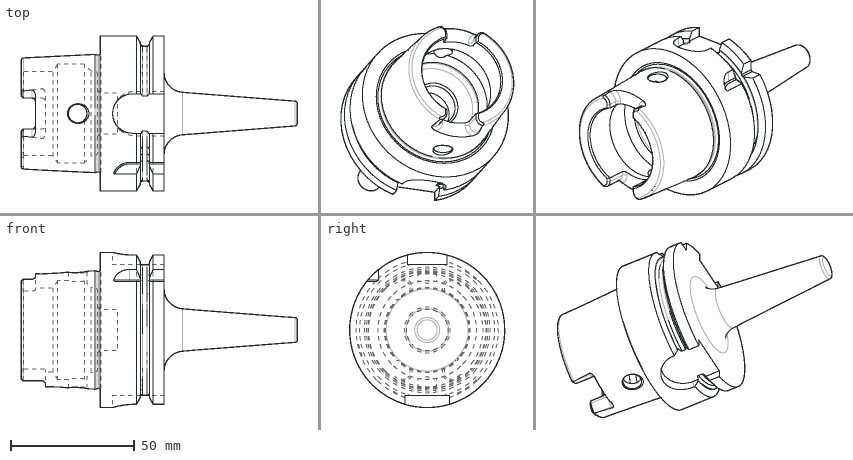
import cadquery as cq
import math


SHANK_LENGTH = 32.0
SHANK_RADIUS = 24.05
TAPER_SLOPE = 1 / 20
SHANK_EDGE_ROUND = 1.0

RELIEF_LENGTH = 2.05
RELIEF_RAMP_LENGTH = 0.9
RELIEF_SHANK_DEPTH = 0.25
RELIEF_FACE_DEPTH = 0.3
RELIEF_ROUND = 0.9
RELIEF_OUTER_RADIUS = 25.5

FLANGE_RADIUS = 31.5
FLANGE_LENGTH = 26.0
GROOVE_CENTER = 18.15
GROOVE_MOUTH_WIDTH = 6.75
GROOVE_FLANK_ANGLE = 30.0
GROOVE_CHANNEL_WIDTH = 3.7
GROOVE_FLOOR_RADIUS = 27.45
GROOVE_FLOOR_ROUND = 1.0

NOSE_END = 80.0
NOSE_TIP_RADIUS = 5.0
NOSE_HALF_ANGLE = 4.5
NOSE_ROOT_ROUND = 8.0
NOSE_TIP_ROUND = 1.0

BORE_RADIUS = 17.0
BORE_CHAMFER_HEIGHT = 0.45
BORE_CHAMFER_LENGTH = 0.9
BORE_LENGTH = 13.0
CHAMBER_RADIUS = 20.0
CHAMBER_SHOULDER_ANGLE = 60.0
CAVITY_DEPTH = 31.0
CHAMBER_END_X = -6.4
RECESS_RADIUS = 17.3
RECESS_FLOOR_ROUND = 1.6
PILOT_RADIUS = 8.4
PILOT_CHAMFER = 0.9
PILOT_DEPTH = 8.0

KEYWAY_WIDTH = 12.5
KEYWAY_DEPTH_TOP = 5.75
KEYWAY_DEPTH_BOTTOM = 9.85
KEYWAY_SHOULDER_HEIGHT = 20.65
KEYWAY_SHOULDER_ROUND = 3.2
KEYWAY_FLOOR_ROUND = 1.4
KEYWAY_MOUTH_CHAMFER = 0.8

CROSS_HOLE_X = -9.1
CROSS_HOLE_RADIUS = 3.75
CROSS_HOLE_CHAMFER = 0.6

SLOT_START_X = 5.1
SLOT_FLOOR_HEIGHT = 26.5
SLOT_WIDTH_TOP = 16.0
SLOT_WIDTH_BOTTOM = 18.0

NOTCH_FLOOR_Z = 19.7
NOTCH_WALL_Y = -19.8
NOTCH_RADIUS = 7.0
NOTCH_CENTER_X = 12.0
NOTCH_FLOOR_CHAMFER = 0.6

CLEARANCE = 5.0


def shank_radius(x):
    """Radius of the taper at axial position x."""
    return SHANK_RADIUS + (x + RELIEF_LENGTH) * TAPER_SLOPE


def point_on_circle(center, radius, angle):
    """Point on a circle, angle in degrees."""
    a = math.radians(angle)
    return (center[0] + radius * math.cos(a), center[1] + radius * math.sin(a))


def revolve_about_x(profile):
    return profile.close().revolve(360, (0, 0, 0), (1, 0, 0))


def shank():
    end = -SHANK_LENGTH
    floor = SHANK_RADIUS - RELIEF_SHANK_DEPTH
    rim = end + SHANK_EDGE_ROUND
    rim_radius = shank_radius(rim)
    rim_center = (rim, rim_radius - SHANK_EDGE_ROUND)
    relief_center = (RELIEF_FACE_DEPTH - RELIEF_ROUND, floor + RELIEF_ROUND)
    profile = (
        cq.Workplane("XY")
        .moveTo(end, 0)
        .lineTo(end, rim_center[1])
        .threePointArc(point_on_circle(rim_center, SHANK_EDGE_ROUND, 135), (rim, rim_radius))
        .lineTo(-RELIEF_LENGTH, SHANK_RADIUS)
        .lineTo(-RELIEF_LENGTH + RELIEF_RAMP_LENGTH, floor)
        .lineTo(relief_center[0], floor)
        .threePointArc(
            point_on_circle(relief_center, RELIEF_ROUND, -45),
            (RELIEF_FACE_DEPTH, relief_center[1]),
        )
        .lineTo(RELIEF_FACE_DEPTH, 0)
    )
    return revolve_about_x(profile)


def flange():
    body = revolve_about_x(
        cq.Workplane("XY")
        .moveTo(RELIEF_FACE_DEPTH, 0)
        .lineTo(RELIEF_FACE_DEPTH, SHANK_RADIUS - RELIEF_SHANK_DEPTH + RELIEF_ROUND)
        .lineTo(0, RELIEF_OUTER_RADIUS)
        .lineTo(0, FLANGE_RADIUS)
        .lineTo(FLANGE_LENGTH, FLANGE_RADIUS)
        .lineTo(FLANGE_LENGTH, 0)
    )
    return body.cut(gripper_groove())


def gripper_groove():
    half_mouth = GROOVE_MOUTH_WIDTH / 2
    half_channel = GROOVE_CHANNEL_WIDTH / 2
    half_floor = half_channel - GROOVE_FLOOR_ROUND
    flank_depth = (half_mouth - half_channel) / math.tan(math.radians(GROOVE_FLANK_ANGLE))
    flank_foot = FLANGE_RADIUS - flank_depth
    round_height = GROOVE_FLOOR_RADIUS + GROOVE_FLOOR_ROUND
    left_center = (GROOVE_CENTER - half_floor, round_height)
    right_center = (GROOVE_CENTER + half_floor, round_height)
    profile = (
        cq.Workplane("XY")
        .moveTo(GROOVE_CENTER - half_mouth, FLANGE_RADIUS + CLEARANCE)
        .lineTo(GROOVE_CENTER - half_mouth, FLANGE_RADIUS)
        .lineTo(GROOVE_CENTER - half_channel, flank_foot)
        .lineTo(GROOVE_CENTER - half_channel, round_height)
        .threePointArc(
            point_on_circle(left_center, GROOVE_FLOOR_ROUND, 225),
            (left_center[0], GROOVE_FLOOR_RADIUS),
        )
        .lineTo(right_center[0], GROOVE_FLOOR_RADIUS)
        .threePointArc(
            point_on_circle(right_center, GROOVE_FLOOR_ROUND, 315),
            (GROOVE_CENTER + half_channel, round_height),
        )
        .lineTo(GROOVE_CENTER + half_channel, flank_foot)
        .lineTo(GROOVE_CENTER + half_mouth, FLANGE_RADIUS)
        .lineTo(GROOVE_CENTER + half_mouth, FLANGE_RADIUS + CLEARANCE)
    )
    return revolve_about_x(profile)


def nose():
    slope = math.tan(math.radians(NOSE_HALF_ANGLE))
    sine = math.sin(math.radians(NOSE_HALF_ANGLE))
    cosine = math.cos(math.radians(NOSE_HALF_ANGLE))

    tangent_x = FLANGE_LENGTH + NOSE_ROOT_ROUND * (1 - sine)
    tangent_radius = NOSE_TIP_RADIUS + (NOSE_END - tangent_x) * slope
    root_center = (
        FLANGE_LENGTH + NOSE_ROOT_ROUND,
        tangent_radius + NOSE_ROOT_ROUND * cosine,
    )
    middle_angle = (180 + 270 - NOSE_HALF_ANGLE) / 2
    profile = (
        cq.Workplane("XY")
        .moveTo(FLANGE_LENGTH, 0)
        .lineTo(FLANGE_LENGTH, root_center[1])
        .threePointArc(
            point_on_circle(root_center, NOSE_ROOT_ROUND, middle_angle),
            (tangent_x, tangent_radius),
        )
        .lineTo(NOSE_END, NOSE_TIP_RADIUS)
        .lineTo(NOSE_END, 0)
    )
    return revolve_about_x(profile).faces(">X").edges().fillet(NOSE_TIP_ROUND)


def clamping_cavity():
    mouth = -SHANK_LENGTH
    bore_end = mouth + BORE_LENGTH
    shoulder = (CHAMBER_RADIUS - BORE_RADIUS) / math.tan(math.radians(CHAMBER_SHOULDER_ANGLE))
    floor = mouth + CAVITY_DEPTH
    neck = CHAMBER_END_X + CHAMBER_RADIUS - RECESS_RADIUS
    round_center = (floor - RECESS_FLOOR_ROUND, RECESS_RADIUS - RECESS_FLOOR_ROUND)
    profile = (
        cq.Workplane("XY")
        .moveTo(mouth, 0)
        .lineTo(mouth, BORE_RADIUS + BORE_CHAMFER_HEIGHT)
        .lineTo(mouth + BORE_CHAMFER_LENGTH, BORE_RADIUS)
        .lineTo(bore_end, BORE_RADIUS)
        .lineTo(bore_end + shoulder, CHAMBER_RADIUS)
        .lineTo(CHAMBER_END_X, CHAMBER_RADIUS)
        .lineTo(neck, RECESS_RADIUS)
        .lineTo(round_center[0], RECESS_RADIUS)
        .threePointArc(
            point_on_circle(round_center, RECESS_FLOOR_ROUND, 45),
            (floor, round_center[1]),
        )
        .lineTo(floor, PILOT_RADIUS + PILOT_CHAMFER)
        .lineTo(floor + PILOT_CHAMFER, PILOT_RADIUS)
        .lineTo(floor + PILOT_DEPTH, PILOT_RADIUS)
        .lineTo(floor + PILOT_DEPTH, 0)
    )
    return revolve_about_x(profile)


def keyway_outline(x, growth):
    """Closed keyway outline on the +Z side at axial position x, grown outward by growth."""
    half = KEYWAY_WIDTH / 2 + growth
    shoulder = KEYWAY_SHOULDER_HEIGHT - growth
    radius = KEYWAY_SHOULDER_ROUND - growth
    arc_y = half + radius
    arc_z = shoulder - radius
    reach = SHANK_RADIUS + CLEARANCE
    return (
        cq.Workplane("YZ", origin=(x, 0, 0))
        .moveTo(-half, 0)
        .lineTo(half, 0)
        .lineTo(half, arc_z)
        .threePointArc(point_on_circle((arc_y, arc_z), radius, 135), (arc_y, shoulder))
        .lineTo(reach, shoulder)
        .lineTo(reach, reach)
        .lineTo(-reach, reach)
        .lineTo(-reach, shoulder)
        .lineTo(-arc_y, shoulder)
        .threePointArc(point_on_circle((-arc_y, arc_z), radius, 45), (-half, arc_z))
        .close()
    )


def keyway(depth):
    """Keyway cutter on the +Z side with a rounded floor corner and a chamfered mouth."""
    mouth_x = -SHANK_LENGTH
    slot = keyway_outline(mouth_x, 0).extrude(depth)
    slot = slot.faces(">X").edges().fillet(KEYWAY_FLOOR_ROUND)
    mouth_wires = [
        keyway_outline(mouth_x, KEYWAY_MOUTH_CHAMFER).val(),
        keyway_outline(mouth_x + KEYWAY_MOUTH_CHAMFER, 0).val(),
    ]
    mouth = cq.Workplane("XY").add(cq.Solid.makeLoft(mouth_wires, True))
    return slot.union(mouth)


def cross_hole():
    hole = cq.Workplane("XY", origin=(CROSS_HOLE_X, 0, -SHANK_RADIUS - CLEARANCE))
    hole = hole.circle(CROSS_HOLE_RADIUS).extrude(2 * (SHANK_RADIUS + CLEARANCE))
    surface = shank_radius(CROSS_HOLE_X)
    countersink = cq.Workplane("XY").add(
        cq.Solid.makeCone(
            CROSS_HOLE_RADIUS,
            CROSS_HOLE_RADIUS + 2 * CROSS_HOLE_CHAMFER,
            2 * CROSS_HOLE_CHAMFER,
            pnt=cq.Vector(CROSS_HOLE_X, 0, surface - CROSS_HOLE_CHAMFER),
            dir=cq.Vector(0, 0, 1),
        )
    )
    return hole.union(countersink).union(countersink.mirror("XY"))


def flange_slot(width):
    """Round-ended slot cutter on the +Z side, open at the nose end of the flange."""
    center_x = SLOT_START_X + width / 2
    return round_ended_slot(center_x, 0, width / 2, SLOT_FLOOR_HEIGHT)


def round_ended_slot(center_x, center_y, radius, floor_z):
    length = FLANGE_LENGTH - center_x
    return (
        cq.Workplane("XY", origin=(center_x, center_y, floor_z))
        .moveTo(length, -radius)
        .lineTo(0, -radius)
        .threePointArc((-radius, 0), (0, radius))
        .lineTo(length, radius)
        .close()
        .extrude(FLANGE_RADIUS)
    )


def orientation_notch():
    cutter = round_ended_slot(
        NOTCH_CENTER_X, NOTCH_WALL_Y - NOTCH_RADIUS, NOTCH_RADIUS, NOTCH_FLOOR_Z
    )
    return cutter.faces("<Z").edges("not >X").chamfer(NOTCH_FLOOR_CHAMFER)


def upside_down(cutter):
    return cutter.rotate((0, 0, 0), (1, 0, 0), 180)


body = shank().union(flange()).union(nose())
body = body.cut(clamping_cavity())
body = body.cut(keyway(KEYWAY_DEPTH_TOP))
body = body.cut(upside_down(keyway(KEYWAY_DEPTH_BOTTOM)))
body = body.cut(cross_hole())
body = body.cut(flange_slot(SLOT_WIDTH_TOP))
body = body.cut(upside_down(flange_slot(SLOT_WIDTH_BOTTOM)))
result = body.cut(orientation_notch())